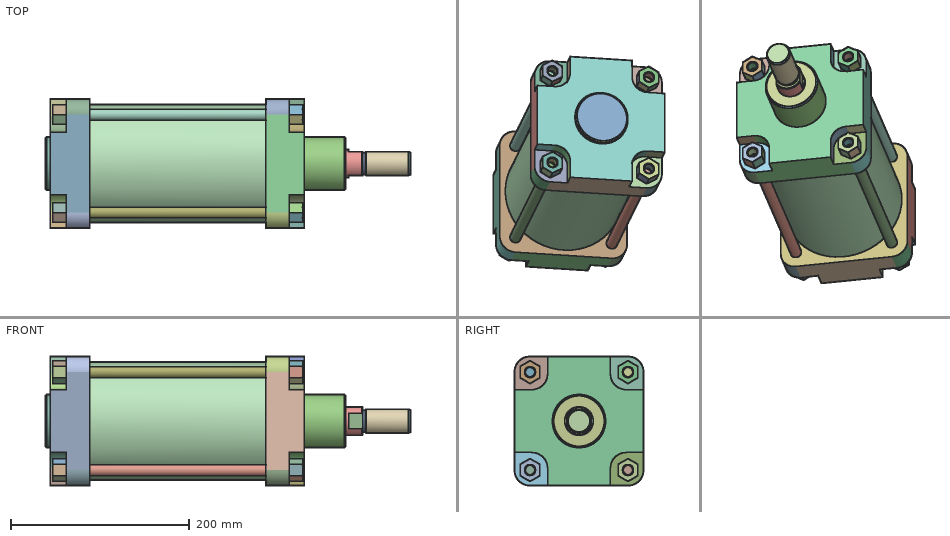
import cadquery as cq
import math


TOTAL_LENGTH = 410.0
REAR_BOSS_LENGTH = 5.5
REAR_CAP_LENGTH = 44.5
BARREL_LENGTH = 197.5
FRONT_CAP_LENGTH = 43.0
FRONT_BOSS_LENGTH = 46.5
ROD_COLLAR_PROJECTION = 19.3
ROD_NECK_LENGTH = 3.5
FLATS_LENGTH = 16.0

CAP_SIDE = 145.0
BOSS_DIAMETER = 60.0
BOSS_CHAMFER = 1.5
TIE_ROD_OFFSET = 55.0
CORNER_RADIUS = CAP_SIDE / 2 - TIE_ROD_OFFSET
POCKET_INNER_EDGE = 35.3
REAR_POCKET_DEPTH = 18.0
FRONT_POCKET_DEPTH = 17.2

BARREL_DIAMETER = 133.0

ROD_DIAMETER = 32.0
ACROSS_ROD_FLATS = 27.0
THREAD_DIAMETER = 27.0
NECK_DIAMETER = 24.5
THREAD_END_CHAMFER_LENGTH = 2.5
THREAD_END_CHAMFER_DEPTH = 1.2
NECK_TAPER_LENGTH = 1.2
COLLAR_CHAMFER_LENGTH = 1.2
COLLAR_CHAMFER_DEPTH = 0.5

TIE_ROD_DIAMETER = 12.5
HEAD_ACROSS_FLATS = 22.0
HEAD_LENGTH = 15.0
SOCKET_DIAMETER = 10.5
SOCKET_CHAMFER = 1.0

REAR_FACE = REAR_BOSS_LENGTH
BARREL_START = REAR_FACE + REAR_CAP_LENGTH
BARREL_END = BARREL_START + BARREL_LENGTH
FRONT_FACE = BARREL_END + FRONT_CAP_LENGTH
FRONT_BOSS_END = FRONT_FACE + FRONT_BOSS_LENGTH
COLLAR_END = FRONT_BOSS_END + ROD_COLLAR_PROJECTION
THREAD_START = COLLAR_END + ROD_NECK_LENGTH
REAR_HEAD_SEAT = REAR_FACE + REAR_POCKET_DEPTH
FRONT_HEAD_SEAT = FRONT_FACE - FRONT_POCKET_DEPTH

TIE_ROD_CENTRES = [(y * TIE_ROD_OFFSET, z * TIE_ROD_OFFSET) for y in (-1, 1) for z in (-1, 1)]


def section_at(x):
    """Workplane across the axis at x, with local axes along Y and Z."""
    return cq.Workplane("YZ", origin=(x, 0, 0))


def make_corner_pockets(start, depth):
    """Four pockets, open to the cap corners, each with one rounded inner corner."""
    pocket_side = CAP_SIDE / 2 - POCKET_INNER_EDGE
    pocket_centre = CAP_SIDE / 2 - pocket_side / 2
    pockets = section_at(start)
    pockets = pockets.rect(2 * pocket_centre, 2 * pocket_centre, forConstruction=True).vertices()
    pockets = pockets.rect(pocket_side, pocket_side).extrude(depth)
    inner_region = cq.selectors.BoxSelector(
        (start, -pocket_centre, -pocket_centre),
        (start + depth, pocket_centre, pocket_centre),
    )
    return pockets.edges("|X").edges(inner_region).fillet(CORNER_RADIUS)


def make_cap(start, length, pocket_start, pocket_depth):
    """Square cap with rounded corners, head pockets and tie rod holes."""
    cap = section_at(start).rect(CAP_SIDE, CAP_SIDE).extrude(length)
    cap = cap.edges("|X").fillet(CORNER_RADIUS)
    cap = cap.cut(make_corner_pockets(pocket_start, pocket_depth))
    holes = section_at(start).pushPoints(TIE_ROD_CENTRES).circle(TIE_ROD_DIAMETER / 2).extrude(length)
    return cap.cut(holes)


def make_rear_cap():
    cap = make_cap(REAR_FACE, REAR_CAP_LENGTH, REAR_FACE, REAR_POCKET_DEPTH)
    boss = section_at(0).circle(BOSS_DIAMETER / 2).extrude(REAR_BOSS_LENGTH)
    return cap.union(boss.faces("<X").chamfer(BOSS_CHAMFER))


def make_front_cap():
    cap = make_cap(BARREL_END, FRONT_CAP_LENGTH, FRONT_HEAD_SEAT, FRONT_POCKET_DEPTH)
    boss = section_at(FRONT_FACE).circle(BOSS_DIAMETER / 2).extrude(FRONT_BOSS_LENGTH)
    cap = cap.union(boss.faces(">X").chamfer(BOSS_CHAMFER))
    bore = section_at(BARREL_END).circle(ROD_DIAMETER / 2).extrude(FRONT_BOSS_END - BARREL_END)
    return cap.cut(bore)


def make_barrel():
    return section_at(BARREL_START).circle(BARREL_DIAMETER / 2).extrude(BARREL_LENGTH)


def make_piston_rod():
    """Turned rod from the barrel end to its threaded tip, with two wrench flats facing +Y and -Y."""
    rod_radius = ROD_DIAMETER / 2
    thread_radius = THREAD_DIAMETER / 2
    profile = (
        cq.Workplane("XY")
        .moveTo(BARREL_END, 0)
        .lineTo(BARREL_END, rod_radius)
        .lineTo(COLLAR_END - COLLAR_CHAMFER_LENGTH, rod_radius)
        .lineTo(COLLAR_END, rod_radius - COLLAR_CHAMFER_DEPTH)
        .lineTo(COLLAR_END, NECK_DIAMETER / 2)
        .lineTo(THREAD_START - NECK_TAPER_LENGTH, NECK_DIAMETER / 2)
        .lineTo(THREAD_START, thread_radius)
        .lineTo(TOTAL_LENGTH - THREAD_END_CHAMFER_LENGTH, thread_radius)
        .lineTo(TOTAL_LENGTH, thread_radius - THREAD_END_CHAMFER_DEPTH)
        .lineTo(TOTAL_LENGTH, 0)
        .close()
    )
    rod = profile.revolve(360, (0, 0, 0), (1, 0, 0))
    flats_start = COLLAR_END - FLATS_LENGTH
    stock = section_at(flats_start).rect(ROD_DIAMETER, ROD_DIAMETER).extrude(FLATS_LENGTH)
    kept = section_at(flats_start).rect(ACROSS_ROD_FLATS, ROD_DIAMETER).extrude(FLATS_LENGTH)
    return rod.cut(stock.cut(kept))


def make_hex_head(seat, length):
    """Hexagonal head with corners at +Z and -Z and a chamfered blind socket; negative length points to -X."""
    across_corners = HEAD_ACROSS_FLATS / math.cos(math.pi / 6)
    head = section_at(seat).transformed(rotate=(0, 0, 90)).polygon(6, across_corners).extrude(length)
    socket = section_at(seat).circle(SOCKET_DIAMETER / 2).extrude(length)
    head = head.cut(socket)
    outer_face = ">X" if length > 0 else "<X"
    return head.faces(outer_face).edges("%CIRCLE").chamfer(SOCKET_CHAMFER)


def make_tie_rod(y, z):
    rod = section_at(REAR_HEAD_SEAT).circle(TIE_ROD_DIAMETER / 2).extrude(FRONT_HEAD_SEAT - REAR_HEAD_SEAT)
    rod = rod.union(make_hex_head(REAR_HEAD_SEAT, -HEAD_LENGTH))
    rod = rod.union(make_hex_head(FRONT_HEAD_SEAT, HEAD_LENGTH))
    return rod.translate((0, y, z))


rear_cap = make_rear_cap()
front_cap = make_front_cap()
barrel = make_barrel()
piston_rod = make_piston_rod()
tie_rods = [make_tie_rod(y, z) for y, z in TIE_ROD_CENTRES]

result = cq.Compound.makeCompound([
    rear_cap.val(),
    front_cap.val(),
    barrel.val(),
    piston_rod.val(),
    *[tie_rod.val() for tie_rod in tie_rods],
])